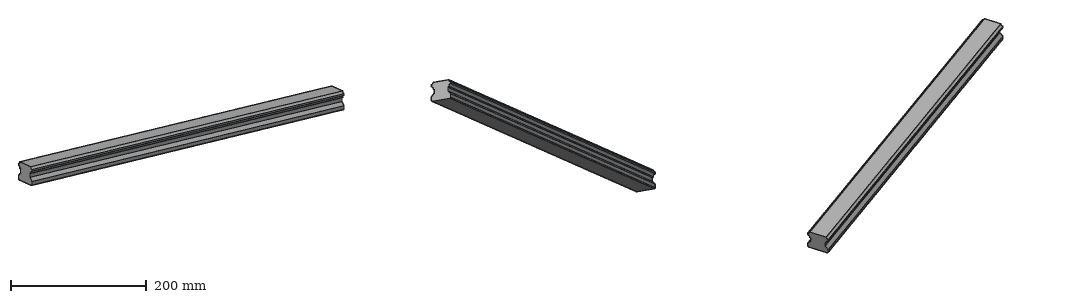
import cadquery as cq
import math

length = 570.0
width = 34.0
height = 29.0

base_chamfer = 1.4
foot_side_top = 7.0
neck_bottom = 12.0
neck_top = 17.5
lower_groove_bottom = 19.0
head_side_bottom = 23.0
head_side_top = 25.5

half_width = width / 2
half_top = 13.5
half_neck = 12.0

groove_depth = 1.0


def groove_middle(start, end):
    """Deepest point of a groove arc, set back from its chord to the left of start -> end."""
    chord_x = end[0] - start[0]
    chord_z = end[1] - start[1]
    chord = math.hypot(chord_x, chord_z)
    middle_x = (start[0] + end[0]) / 2 - chord_z / chord * groove_depth
    middle_z = (start[1] + end[1]) / 2 + chord_x / chord * groove_depth
    return middle_x, middle_z


def half_section():
    """Right half of the rail cross-section, from the centre line to +X."""
    lower_start = (half_top, lower_groove_bottom)
    lower_end = (half_width, head_side_bottom)
    upper_start = (half_width, head_side_top)
    upper_end = (half_top, height)
    return (
        cq.Workplane("XZ", origin=(0, length / 2, 0))
        .moveTo(0, 0)
        .lineTo(half_width - base_chamfer, 0)
        .lineTo(half_width, base_chamfer)
        .lineTo(half_width, foot_side_top)
        .lineTo(half_neck, neck_bottom)
        .lineTo(half_neck, neck_top)
        .lineTo(*lower_start)
        .threePointArc(groove_middle(lower_start, lower_end), lower_end)
        .lineTo(*upper_start)
        .threePointArc(groove_middle(upper_start, upper_end), upper_end)
        .lineTo(0, height)
        .close()
    )


half_rail = half_section().extrude(length)
result = half_rail.union(half_rail.mirror("YZ")).clean()